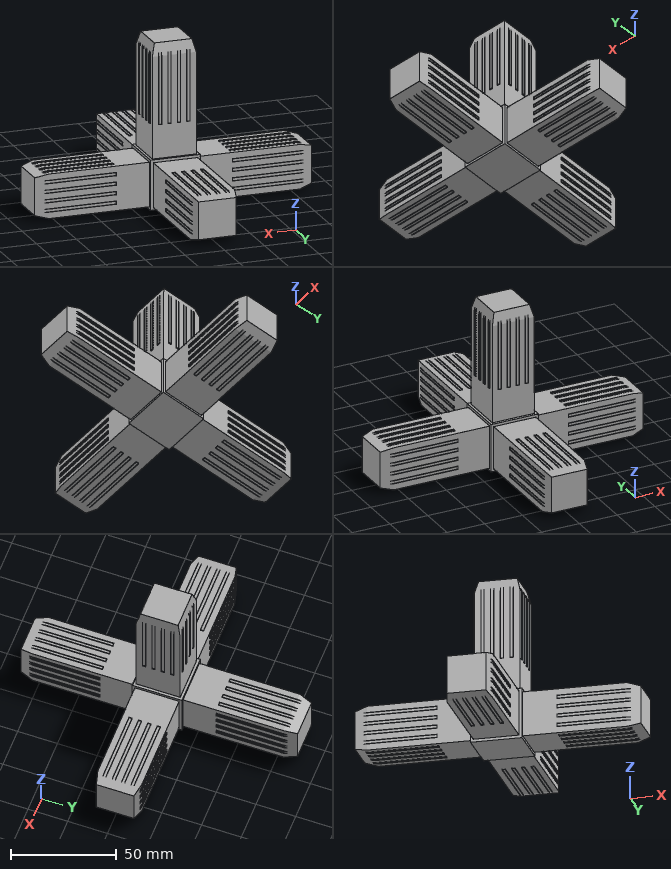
import cadquery as cq

span = 139.4
hub_size = 25.1

arm_width = 22.3
tip_width = 19.0
taper_length = 6.4

groove_count = 4
groove_pitch = 4.7
groove_width = 1.5
groove_depth = 0.4
groove_inner_gap = 40.4

arm_reach = span / 2
taper_start = arm_reach - taper_length
groove_start = arm_reach - groove_inner_gap


def make_bar():
    """Square bar rising along +Z from the part centre, with its tapered tip."""
    straight = cq.Workplane("XY").rect(arm_width, arm_width).extrude(taper_start)
    tip = (
        cq.Workplane("XY", origin=(0, 0, taper_start))
        .rect(arm_width, arm_width)
        .workplane(offset=taper_length)
        .rect(tip_width, tip_width)
        .loft(ruled=True)
    )
    return straight.union(tip)


def make_face_grooves():
    """Groove cutters for the +Y face; they run out through the tapered tip."""
    row_start = -groove_pitch * (groove_count - 1) / 2
    centres = [(row_start + i * groove_pitch, arm_width / 2) for i in range(groove_count)]
    return (
        cq.Workplane("XY", origin=(0, 0, groove_start))
        .pushPoints(centres)
        .rect(groove_width, 2 * groove_depth)
        .extrude(groove_inner_gap)
    )


def make_arm():
    """Upright arm with grooves on all four faces."""
    arm = make_bar()
    grooves = make_face_grooves()
    for quarter_turn in range(4):
        arm = arm.cut(grooves.rotate((0, 0, 0), (0, 0, 1), 90 * quarter_turn))
    return arm


upright_arm = make_arm()
level_arm = upright_arm.rotate((0, 0, 0), (0, 1, 0), 90)

result = cq.Workplane("XY").box(hub_size, hub_size, hub_size).union(upright_arm)
for quarter_turn in range(4):
    result = result.union(level_arm.rotate((0, 0, 0), (0, 0, 1), 90 * quarter_turn))